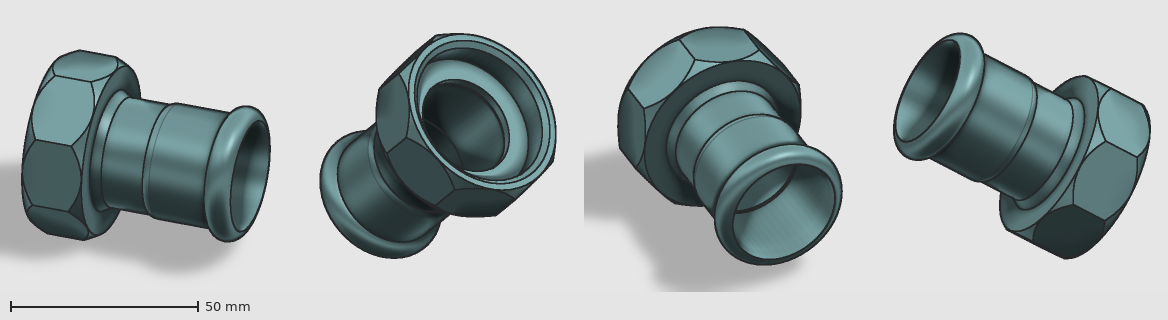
import cadquery as cq
import math

length = 56.5
nut_width = 16.95
collar_end = 19.6
socket_step_start = 31.35
socket_step_end = 33.4
bead_width = 7.4

nut_sides = 8
nut_across_flats = 46.0
nut_corner_angle = 15.3
nut_face_diameter = 45.9
nut_chamfer_angle = 30.0
nut_bore_diameter = 39.0
nut_mouth_diameter = 42.15
nut_mouth_depth = 1.35
nut_bore_depth = 8.55

collar_diameter = 33.1
tube_diameter = 30.0
socket_diameter = 31.4
bead_diameter = 36.7
bead_base_diameter = 30.6

throat_diameter = 27.0
throat_length = 2.6
taper_length = 1.25
tube_bore_diameter = 28.4
socket_bore_diameter = 30.0


def revolve_about_x(profile):
    """Turn a closed (X, radius) profile about the X axis."""
    return profile.close().revolve(360, (0, 0, 0), (1, 0, 0))


def make_nut():
    corner_diameter = nut_across_flats / math.cos(math.pi / nut_sides)
    prism = (
        cq.Workplane("YZ")
        .polygon(nut_sides, corner_diameter)
        .extrude(nut_width)
        .rotate((0, 0, 0), (1, 0, 0), 90 + nut_corner_angle)
    )
    face_radius = nut_face_diameter / 2
    middle_radius = face_radius + nut_width / 2 * math.tan(math.radians(nut_chamfer_angle))
    cones = revolve_about_x(
        cq.Workplane("XY")
        .lineTo(0, face_radius)
        .lineTo(nut_width / 2, middle_radius)
        .lineTo(nut_width, face_radius)
        .lineTo(nut_width, 0)
    )
    return prism.intersect(cones)


def make_tube():
    """Outside of the tube: conical collar, plain length and wider socket."""
    tube_radius = tube_diameter / 2
    socket_radius = socket_diameter / 2
    step_rise = socket_radius - tube_radius
    step_run = socket_step_end - socket_step_start
    arc_radius = (step_run**2 + step_rise**2) / (2 * step_rise)
    half_angle = math.asin(step_run / arc_radius) / 2
    arc_middle = (
        socket_step_end - arc_radius * math.sin(half_angle),
        socket_radius - arc_radius * (1 - math.cos(half_angle)),
    )
    bead_center = length - bead_width / 2
    return revolve_about_x(
        cq.Workplane("XY")
        .moveTo(nut_bore_depth, 0)
        .lineTo(nut_bore_depth, collar_diameter / 2)
        .lineTo(nut_width, collar_diameter / 2)
        .lineTo(collar_end, tube_radius)
        .lineTo(socket_step_start, tube_radius)
        .threePointArc(arc_middle, (socket_step_end, socket_radius))
        .lineTo(bead_center, socket_radius)
        .lineTo(bead_center, 0)
    )


def make_bead():
    """Rounded bead at the open end of the socket."""
    base_radius = bead_base_diameter / 2
    return revolve_about_x(
        cq.Workplane("XY")
        .moveTo(length - bead_width, 0)
        .lineTo(length - bead_width, base_radius)
        .threePointArc((length - bead_width / 2, bead_diameter / 2), (length, base_radius))
        .lineTo(length, 0)
    )


def make_mouth():
    """Nut bore with its conical lead-in."""
    return revolve_about_x(
        cq.Workplane("XY")
        .lineTo(0, nut_mouth_diameter / 2)
        .lineTo(nut_mouth_depth, nut_bore_diameter / 2)
        .lineTo(nut_bore_depth, nut_bore_diameter / 2)
        .lineTo(nut_bore_depth, 0)
    )


def make_bore():
    """Throat that tapers out to the thin-walled tube, then steps out to the socket."""
    throat_end = nut_bore_depth + throat_length
    taper_end = throat_end + taper_length
    return revolve_about_x(
        cq.Workplane("XY")
        .lineTo(0, throat_diameter / 2)
        .lineTo(throat_end, throat_diameter / 2)
        .lineTo(taper_end, tube_bore_diameter / 2)
        .lineTo(socket_step_end, tube_bore_diameter / 2)
        .lineTo(socket_step_end, socket_bore_diameter / 2)
        .lineTo(length, socket_bore_diameter / 2)
        .lineTo(length, 0)
    )


result = make_nut().union(make_tube()).union(make_bead()).cut(make_mouth()).cut(make_bore())